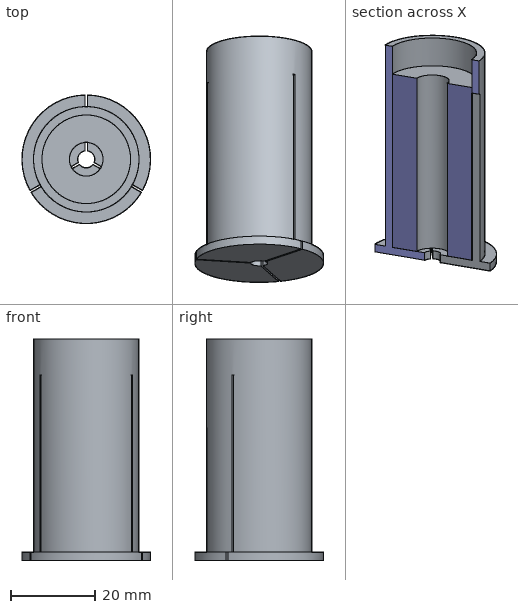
import cadquery as cq

total_height = 52.5
flange_diameter = 30.5
flange_height = 2.0
barrel_diameter = 25.0
sleeve_bore_diameter = 21.0
end_hole_diameter = 4.0

pocket_depth = 7.0
core_height = total_height - flange_height - pocket_depth
core_hole_diameter = 8.0

slit_count = 3
first_slit_angle = 90.0
slit_width = 0.5
slit_height = 44.0


def cylinder(diameter, height, base=0.0):
    """Vertical cylinder centred on the Z axis."""
    return cq.Workplane("XY").workplane(offset=base).circle(diameter / 2).extrude(height)


def cut_slits(body):
    """Cut equally spaced radial slits from the axis out past the flange."""
    slit_length = flange_diameter
    slit = cq.Workplane("XY").box(slit_length, slit_width, slit_height, centered=(False, True, False))
    for index in range(slit_count):
        angle = first_slit_angle + index * 360.0 / slit_count
        body = body.cut(slit.rotate((0, 0, 0), (0, 0, 1), angle))
    return body


def make_sleeve():
    """Flanged cup with a holed end wall, slit from its flange end."""
    barrel = cylinder(barrel_diameter, total_height)
    flange = cylinder(flange_diameter, flange_height)
    bore = cylinder(sleeve_bore_diameter, total_height - flange_height, flange_height)
    end_hole = cylinder(end_hole_diameter, flange_height)
    return cut_slits(barrel.union(flange).cut(bore).cut(end_hole))


def make_core():
    """Unslit bush that fills the sleeve bore from the end wall to the pocket floor."""
    blank = cylinder(sleeve_bore_diameter, core_height, flange_height)
    hole = cylinder(core_hole_diameter, core_height, flange_height)
    return blank.cut(hole)


sleeve = make_sleeve()
core = make_core()

result = cq.Compound.makeCompound([sleeve.val(), core.val()])